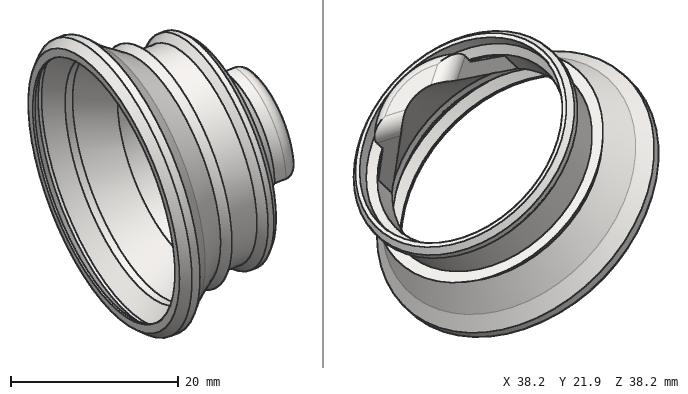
import cadquery as cq
import math

RIM_DIAMETER = 38.2
RIM_FACE_DIAMETER = 36.2
RIM_CHAMFER_LENGTH = 1.15
RIM_END = 2.25
FLARE_DIAMETER = 34.9
FLARE_START = 3.9
CONE_END_DIAMETER = 29.95
CONE_END = 7.5
LIP_DIAMETER = 31.4
LIP_END = 8.65
NECK_DIAMETER = 28.4
NECK_END = 12.95
COLLAR_DIAMETER = 30.4
COLLAR_START = 13.9
COLLAR_END = 14.7
COLLAR_FACE_DIAMETER = 29.05
RING_LENGTH = 15.45

MOUTH_DIAMETER = 34
MOUTH_DEPTH = 0.3
UNDERCUT_DIAMETER = 36.15
UNDERCUT_START = 1.38
UNDERCUT_END = 1.85
THROAT_START = 3.9
THROAT_DIAMETER = 32.0
FUNNEL_START = 4.93
FUNNEL_SLOPE = math.tan(math.radians(34.5))
BORE_DIAMETER = 25.9
COUNTERBORE_DIAMETER = 27.9
BORE_END = 12.9
COUNTERBORE_START = 13.83

SPOUT_ANGLE = 110
SPOUT_BASE_RADIUS = 11.05
SPOUT_TIP_RADIUS = 9.05
SPOUT_TIP_START = 18.37
SPOUT_END = 21.9
SPOUT_ROUND = 2.0


def funnel_radius(y):
    """Radius of the inner funnel cone at depth y."""
    return THROAT_DIAMETER / 2 - FUNNEL_SLOPE * (y - FUNNEL_START)


def revolve_about_y(points, angle=360):
    """Revolve a closed (radius, y) outline about Y, from +X towards +Z."""
    return cq.Workplane("XY").polyline(points).close().revolve(angle, (0, 0, 0), (0, -1, 0))


def make_ring():
    bore_start = FUNNEL_START + (THROAT_DIAMETER - BORE_DIAMETER) / 2 / FUNNEL_SLOPE
    outside = [
        (RIM_FACE_DIAMETER, 0),
        (RIM_DIAMETER, RIM_CHAMFER_LENGTH),
        (RIM_DIAMETER, RIM_END),
        (FLARE_DIAMETER, FLARE_START),
        (CONE_END_DIAMETER, CONE_END),
        (LIP_DIAMETER, LIP_END),
        (NECK_DIAMETER, LIP_END),
        (NECK_DIAMETER, NECK_END),
        (COLLAR_DIAMETER, COLLAR_START),
        (COLLAR_DIAMETER, COLLAR_END),
        (COLLAR_FACE_DIAMETER, RING_LENGTH),
    ]
    inside = [
        (COUNTERBORE_DIAMETER, RING_LENGTH),
        (COUNTERBORE_DIAMETER, COUNTERBORE_START),
        (BORE_DIAMETER, BORE_END),
        (BORE_DIAMETER, bore_start),
        (THROAT_DIAMETER, FUNNEL_START),
        (THROAT_DIAMETER, THROAT_START),
        (UNDERCUT_DIAMETER, UNDERCUT_END),
        (UNDERCUT_DIAMETER, UNDERCUT_START),
        (MOUTH_DIAMETER, MOUTH_DEPTH),
        (MOUTH_DIAMETER, 0),
    ]
    return revolve_about_y([(diameter / 2, y) for diameter, y in outside + inside])


def make_spout():
    outer_slope = (SPOUT_BASE_RADIUS - SPOUT_TIP_RADIUS) / (SPOUT_TIP_START - RING_LENGTH)
    root_radius = (BORE_DIAMETER + NECK_DIAMETER) / 4
    root_y = RING_LENGTH - (root_radius - SPOUT_BASE_RADIUS) / outer_slope
    root_inner_y = FUNNEL_START + (THROAT_DIAMETER / 2 - root_radius) / FUNNEL_SLOPE
    spout = revolve_about_y(
        [
            (root_radius, root_inner_y),
            (root_radius, root_y),
            (SPOUT_TIP_RADIUS, SPOUT_TIP_START),
            (SPOUT_TIP_RADIUS, SPOUT_END),
            (funnel_radius(SPOUT_END), SPOUT_END),
        ],
        SPOUT_ANGLE,
    )
    end_face = spout.faces(">Y")
    inner_edge = end_face.edges(cq.selectors.RadiusNthSelector(0))
    rounded_edges = end_face.edges().filter(lambda edge: not edge.isSame(inner_edge.val()))
    return rounded_edges.fillet(SPOUT_ROUND)


result = make_ring().union(make_spout())